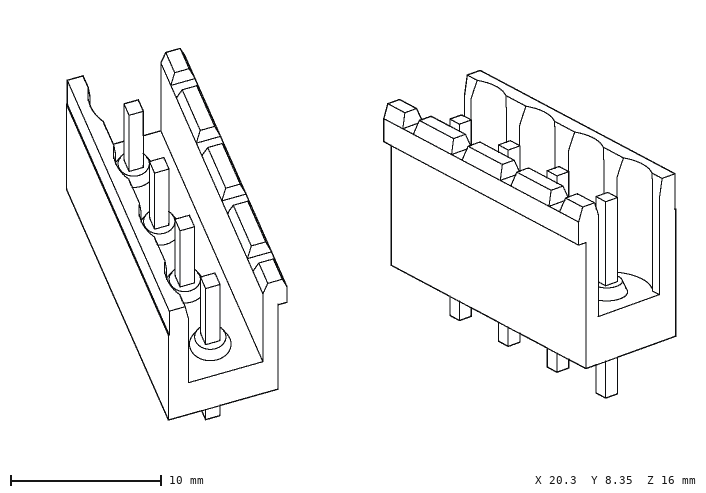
import cadquery as cq

pin_count = 4
pitch = 5.08
length = pin_count * pitch

height = 12.0
floor_z = 3.52
rear_face_y = 7.72
channel_front_y = 1.42
channel_rear_y = 6.65

front_step_depth = 0.06
front_step_height = 2.62
front_lead_in_width = 0.25
front_lead_in_height = 1.5
scallop_radius = 3.05

rail_overhang = 0.63
rail_height = 2.7
rail_chamfer_width = 0.35
rail_chamfer_height = 1.0
notch_depth = rail_chamfer_height
notch_floor_width = 1.1
notch_top_width = 1.5

pin_y = 3.85
pin_side = 1.02
pin_tail = 3.98
pin_top_z = height - front_lead_in_height
collar_height = 0.8
collar_base_radius = 1.38
collar_top_radius = 1.04

rail_face_y = rear_face_y + rail_overhang
pin_positions = [((i + 0.5) * pitch, pin_y) for i in range(pin_count)]


def make_housing():
    """Extrude the U-shaped cross-section along the row."""
    outline = [
        (0, 0),
        (rear_face_y, 0),
        (rear_face_y, height - rail_height),
        (rail_face_y, height - rail_height),
        (rail_face_y, height - rail_chamfer_height),
        (rail_face_y - rail_chamfer_width, height),
        (channel_rear_y + rail_chamfer_width, height),
        (channel_rear_y, height - rail_chamfer_height),
        (channel_rear_y, floor_z),
        (channel_front_y, floor_z),
        (channel_front_y, height - front_lead_in_height),
        (channel_front_y - front_lead_in_width, height),
        (front_step_depth, height),
        (front_step_depth, height - front_step_height),
        (0, height - front_step_height),
    ]
    return cq.Workplane("YZ").polyline(outline).close().extrude(length)


def make_scallop(x):
    """Half-round clearance in front of the pin at x, hollowing the front wall down to the floor."""
    return (
        cq.Workplane("XY", origin=(x, pin_y, floor_z))
        .moveTo(-scallop_radius, 0)
        .threePointArc((0, -scallop_radius), (scallop_radius, 0))
        .close()
        .extrude(height - floor_z)
    )


def make_notch(x):
    """Tapered notch across the rear rail, centred on x."""
    outline = [
        (x - notch_floor_width / 2, height - notch_depth),
        (x + notch_floor_width / 2, height - notch_depth),
        (x + notch_top_width / 2, height),
        (x - notch_top_width / 2, height),
    ]
    return (
        cq.Workplane("XZ", origin=(0, rail_face_y, 0))
        .polyline(outline)
        .close()
        .extrude(rail_face_y - channel_rear_y)
    )


def make_collars():
    """Conical collars standing on the channel floor."""
    collar = cq.Solid.makeCone(collar_base_radius, collar_top_radius, collar_height)
    return (
        cq.Workplane("XY", origin=(0, 0, floor_z))
        .pushPoints(pin_positions)
        .eachpoint(lambda place: collar.moved(place))
    )


def make_pins():
    """Square pins passing through the floor, with tails below the housing."""
    return (
        cq.Workplane("XY", origin=(0, 0, -pin_tail))
        .pushPoints(pin_positions)
        .rect(pin_side, pin_side)
        .extrude(pin_tail + pin_top_z)
    )


housing = make_housing()
for pin_x, _ in pin_positions:
    housing = housing.cut(make_scallop(pin_x)).cut(make_notch(pin_x))

result = housing.union(make_collars()).union(make_pins())